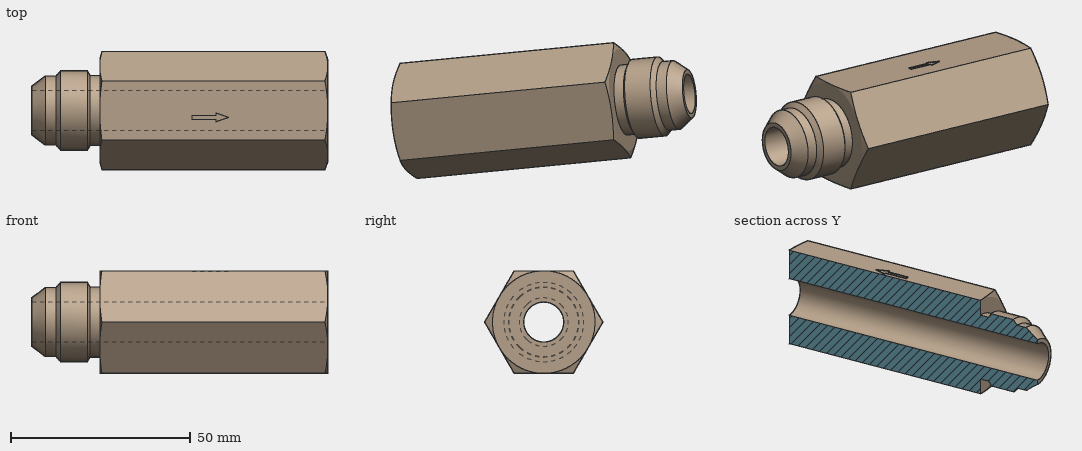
import cadquery as cq
import math

total_length = 82.55
cone_end = 3.8
collar_start = 6.8
collar_full_start = 8.1
collar_full_end = 15.5
neck_start = 16.3
hex_start = 19.0

bore_dia = 11.1
nose_dia = 19.3
neck_dia = 19.65
collar_dia = 22.2
cone_half_angle = 37.0

hex_across_corners = 33.0
hex_across_flats = hex_across_corners * math.cos(math.radians(30))
hex_length = total_length - hex_start
front_chamfer_angle = 15.0
back_chamfer_angle = 20.0

arrow_tail_x = 44.7
arrow_neck_x = 51.35
arrow_tip_x = 54.9
arrow_y = -1.9
arrow_shaft_width = 1.1
arrow_head_width = 2.5
arrow_depth = 0.2


def turned_end():
    """Solid of revolution: flare cone, nose, chamfered collar and neck."""
    nose_r = nose_dia / 2
    neck_r = neck_dia / 2
    collar_r = collar_dia / 2
    tip_r = nose_r - cone_end * math.tan(math.radians(cone_half_angle))
    profile = [
        (0, 0),
        (0, tip_r),
        (cone_end, nose_r),
        (collar_start, nose_r),
        (collar_full_start, collar_r),
        (collar_full_end, collar_r),
        (neck_start, neck_r),
        (hex_start, neck_r),
        (hex_start, 0),
    ]
    return cq.Workplane("XY").polyline(profile).close().revolve(360, (0, 0), (1, 0))


def hex_body():
    """Hexagonal bar whose corners are turned to a cone at both ends."""
    corner_r = hex_across_corners / 2
    flat_r = hex_across_flats / 2
    front_setback = (corner_r - flat_r) * math.tan(math.radians(front_chamfer_angle))
    back_setback = (corner_r - flat_r) * math.tan(math.radians(back_chamfer_angle))
    bar = (
        cq.Workplane("YZ", origin=(hex_start, 0, 0))
        .polygon(6, hex_across_corners)
        .extrude(hex_length)
    )
    envelope_profile = [
        (hex_start, 0),
        (hex_start, flat_r),
        (hex_start + front_setback, corner_r),
        (total_length - back_setback, corner_r),
        (total_length, flat_r),
        (total_length, 0),
    ]
    envelope = (
        cq.Workplane("XY").polyline(envelope_profile).close().revolve(360, (0, 0), (1, 0))
    )
    return bar.intersect(envelope)


def flow_arrow():
    """Cutter for the arrow pointing away from the nose."""
    shaft = arrow_shaft_width / 2
    head = arrow_head_width / 2
    outline = [
        (arrow_tail_x, arrow_y - shaft),
        (arrow_neck_x, arrow_y - shaft),
        (arrow_neck_x, arrow_y - head),
        (arrow_tip_x, arrow_y),
        (arrow_neck_x, arrow_y + head),
        (arrow_neck_x, arrow_y + shaft),
        (arrow_tail_x, arrow_y + shaft),
    ]
    flat_plane = cq.Workplane("XY", origin=(0, 0, hex_across_flats / 2))
    return flat_plane.polyline(outline).close().extrude(-arrow_depth)


bore = cq.Workplane("YZ").circle(bore_dia / 2).extrude(total_length)

result = turned_end().union(hex_body()).cut(bore).cut(flow_arrow())